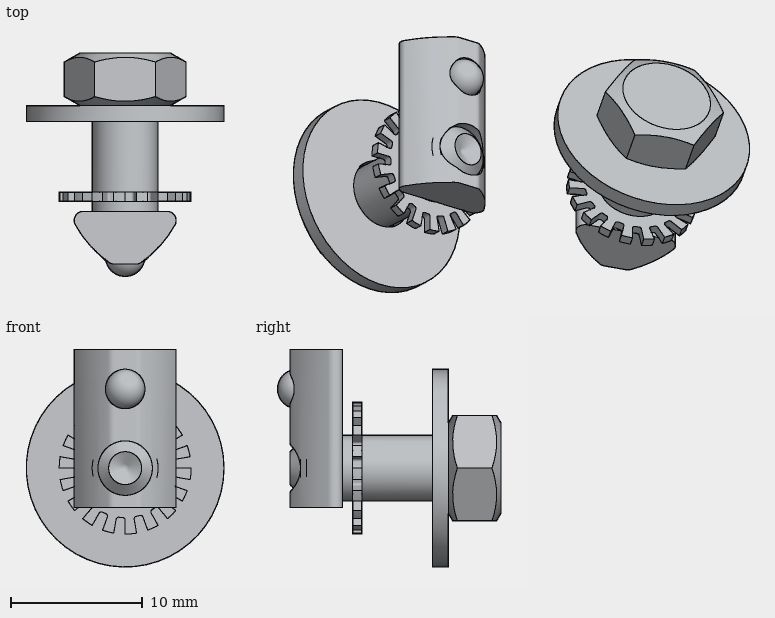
import cadquery as cq
import math


thread_diameter = 5.0
shank_length = 12.0
head_sides = 6
head_across_flats = 8.0
head_height = 4.0
head_face_diameter = 6.85
head_chamfer_angle = 30.0
tip_diameter = 2.5
tip_chamfer_angle = 45.0
cup_cone_angle = 118.0

clearance_diameter = 5.3
washer_diameter = 15.0
washer_thickness = 1.2
lock_washer_diameter = 10.0
lock_washer_root_diameter = 7.5
lock_washer_thickness = 0.7
lock_washer_gap_to_nut = 0.75
tooth_count = 18
tooth_root_fillet = 0.2

margin = 1.0

nut_length = 12.0
nut_depth = 4.0
nut_below_screw = 3.0
nut_back_half_width = 4.27
nut_front_half_width = 1.04
nut_flank_radius = 8.5
nut_edge_fillet = 0.7
nut_core_diameter = 4.13

ball_diameter = 3.0
ball_protrusion = 0.95
ball_height = 6.0

nut_front_y = -shank_length
nut_back_y = nut_front_y + nut_depth
lock_washer_front_y = nut_back_y + lock_washer_gap_to_nut
ball_radius = ball_diameter / 2
ball_center_y = nut_front_y - ball_protrusion + ball_radius

shank_radius = thread_diameter / 2
tip_radius = tip_diameter / 2
core_radius = nut_core_diameter / 2
tip_chamfer_slope = math.tan(math.radians(tip_chamfer_angle))
tip_chamfer_length = (shank_radius - tip_radius) / tip_chamfer_slope
tip_chamfer_start_y = -shank_length + tip_chamfer_length


def plane_at(y):
    """Sketch plane across the screw axis, facing -Y, with local x along +X and local y along +Z."""
    return cq.Workplane("XZ", origin=(0, y, 0))


def revolve_about_y(profile):
    """Revolve a closed (radius, y) profile about the screw axis."""
    return cq.Workplane("XY").polyline(profile).close().revolve(360, (0, 0), (0, 1))


def make_hex_head():
    """Hexagon with two flats facing up and down and both ends chamfered."""
    corner_diameter = head_across_flats / math.cos(math.pi / head_sides)
    corner_radius = corner_diameter / 2
    face_radius = head_face_diameter / 2
    chamfer_height = (corner_radius - face_radius) * math.tan(math.radians(head_chamfer_angle))
    hexagon = plane_at(head_height).polygon(head_sides, corner_diameter).extrude(head_height)
    envelope = revolve_about_y([
        (0, 0),
        (face_radius, 0),
        (corner_radius, chamfer_height),
        (corner_radius, head_height - chamfer_height),
        (face_radius, head_height),
        (0, head_height),
    ])
    return hexagon.intersect(envelope)


def make_screw():
    """Hex head and shank in one body, ending in a chamfered tip with a conical cup."""
    cup_depth = tip_radius / math.tan(math.radians(cup_cone_angle / 2))
    shank = revolve_about_y([
        (0, 0),
        (shank_radius, 0),
        (shank_radius, tip_chamfer_start_y),
        (tip_radius, -shank_length),
        (0, -shank_length + cup_depth),
    ])
    return make_hex_head().union(shank)


def make_washer():
    """Plain washer seated against the screw head."""
    return plane_at(0).circle(washer_diameter / 2).circle(clearance_diameter / 2).extrude(washer_thickness)


def make_lock_washer():
    """Externally toothed ring; each gap spans half a pitch and has rounded root corners."""
    outer_radius = lock_washer_diameter / 2
    root_radius = lock_washer_root_diameter / 2
    back_y = lock_washer_front_y + lock_washer_thickness
    pitch_angle = 360 / tooth_count
    gap_angle = math.radians(pitch_angle / 2)
    beyond_rim = outer_radius + margin

    gap = (
        plane_at(back_y)
        .moveTo(root_radius, 0)
        .lineTo(beyond_rim, 0)
        .lineTo(beyond_rim * math.cos(gap_angle), beyond_rim * math.sin(gap_angle))
        .lineTo(root_radius * math.cos(gap_angle), root_radius * math.sin(gap_angle))
        .threePointArc(
            (root_radius * math.cos(gap_angle / 2), root_radius * math.sin(gap_angle / 2)),
            (root_radius, 0),
        )
        .close()
        .extrude(lock_washer_thickness)
    )
    gap_box = gap.val().BoundingBox()
    root_corners = cq.selectors.BoxSelector(
        (gap_box.xmin - margin, gap_box.ymin - margin, gap_box.zmin - margin),
        (outer_radius, gap_box.ymax + margin, gap_box.zmax + margin),
    )
    gap = gap.edges("|Y").edges(root_corners).fillet(tooth_root_fillet)

    ring = plane_at(back_y).circle(outer_radius).circle(clearance_diameter / 2).extrude(lock_washer_thickness)
    for index in range(tooth_count):
        ring = ring.cut(gap.rotate((0, 0, 0), (0, 1, 0), index * pitch_angle))
    return ring


def make_ball():
    """Spring ball standing out of the nut's front face."""
    return cq.Workplane("XY", origin=(0, ball_center_y, ball_height)).sphere(ball_radius)


def make_ball_pocket(ball):
    """Round hole as wide as the ball, ending in a hemisphere that seats it."""
    hole = (
        plane_at(ball_center_y)
        .center(0, ball_height)
        .circle(ball_radius)
        .extrude(ball_radius)
    )
    return hole.union(ball)


def make_nut_bore():
    """Screw-sized bore following the tip chamfer down to the core diameter, then straight out."""
    core_start_y = tip_chamfer_start_y - (shank_radius - core_radius) / tip_chamfer_slope
    return revolve_about_y([
        (0, nut_back_y),
        (shank_radius, nut_back_y),
        (shank_radius, tip_chamfer_start_y),
        (core_radius, core_start_y),
        (core_radius, nut_front_y),
        (0, nut_front_y),
    ])


def make_slot_nut(ball):
    """Bar with bulged, converging flanks, bored for the screw and pocketed for the ball."""
    body = (
        cq.Workplane("XY", origin=(0, 0, -nut_below_screw))
        .moveTo(-nut_front_half_width, nut_front_y)
        .lineTo(nut_front_half_width, nut_front_y)
        .radiusArc((nut_back_half_width, nut_back_y), -nut_flank_radius)
        .lineTo(-nut_back_half_width, nut_back_y)
        .radiusArc((-nut_front_half_width, nut_front_y), -nut_flank_radius)
        .close()
        .extrude(nut_length)
        .edges("|Z")
        .fillet(nut_edge_fillet)
    )
    return body.cut(make_nut_bore()).cut(make_ball_pocket(ball))


screw = make_screw()
washer = make_washer()
lock_washer = make_lock_washer()
ball = make_ball()
slot_nut = make_slot_nut(ball)

result = cq.Compound.makeCompound([
    screw.solids().val(),
    washer.solids().val(),
    lock_washer.solids().val(),
    slot_nut.solids().val(),
    ball.solids().val(),
])